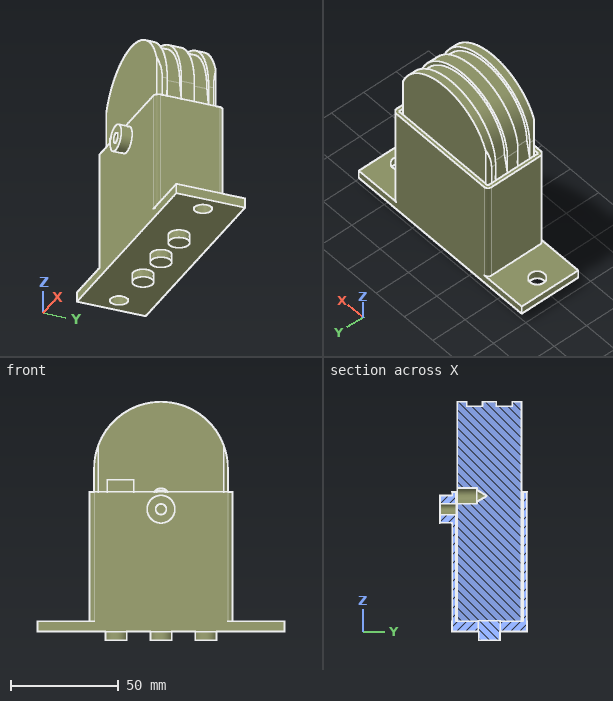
import cadquery as cq
import math

plate_length = 115.0
depth = 35.0
plate_thickness = 5.0
mounting_hole_diameter = 8.5
mounting_hole_offset = 48.5

housing_length = 66.7
housing_top = 65.0
wall = 2.0
corner_radius = 2.4

boss_diameter = 12.9
boss_length = 5.5
boss_hole_diameter = 5.0
boss_height = 56.9

pin_diameter = 10.0
pin_projection = 4.0
pin_pitch = 20.8
pin_count = 3

slider_radius = 31.2
slider_depth = 30.0
slider_top = 107.0
edge_chamfer = 2.0

center_rib_width = 6.5
groove_width = 7.2
groove_depth = 2.1
groove_runout = 10.8

socket_diameter = 7.1
socket_top = 66.7
socket_depth = 9.2
socket_tip_diameter = 5.3
socket_tip_angle = 60.0

recess_width = 12.4
recess_center_x = -18.9
recess_top = 70.7
recess_depth = 0.1

cavity_length = housing_length - 2 * wall
cavity_depth = depth - 2 * wall
front_wall_y = -depth / 2
slider_front_y = -slider_depth / 2
arc_center_z = slider_top - slider_radius
groove_radius = slider_radius - groove_depth
groove_offset = (center_rib_width + groove_width) / 2
pin_positions = [((i - (pin_count - 1) / 2) * pin_pitch, 0) for i in range(pin_count)]


def front_cylinder(diameter, length, center_z, front_y):
    """Cylinder along Y that starts at front_y and runs backwards (+Y)."""
    axis = cq.Vector(0, 1, 0)
    start = cq.Vector(0, front_y, center_z)
    return cq.Workplane(cq.Solid.makeCylinder(diameter / 2, length, start, axis))


def make_housing():
    """Open-topped box on a base plate, with a drilled boss on its front wall."""
    plate = cq.Workplane().box(plate_length, depth, plate_thickness, centered=(True, True, False))
    walls = (
        cq.Workplane()
        .box(housing_length, depth, housing_top, centered=(True, True, False))
        .edges("|Z")
        .fillet(corner_radius)
    )
    cavity = (
        cq.Workplane()
        .workplane(offset=plate_thickness)
        .rect(cavity_length, cavity_depth)
        .extrude(housing_top - plate_thickness)
        .edges("|Z")
        .fillet(corner_radius - wall)
    )
    boss_front_y = front_wall_y - boss_length
    boss = front_cylinder(boss_diameter, boss_length + wall, boss_height, boss_front_y)
    boss_hole = front_cylinder(boss_hole_diameter, boss_length + wall, boss_height, boss_front_y)
    mounting_holes = (
        cq.Workplane()
        .pushPoints([(-mounting_hole_offset, 0), (mounting_hole_offset, 0)])
        .circle(mounting_hole_diameter / 2)
        .extrude(plate_thickness)
    )
    pin_holes = cq.Workplane().pushPoints(pin_positions).circle(pin_diameter / 2).extrude(plate_thickness)
    body = plate.union(walls).cut(cavity).union(boss)
    return body.cut(boss_hole).cut(mounting_holes).cut(pin_holes)


def make_pin(position):
    """Pin that fills its hole in the base plate and stands out below it."""
    return (
        cq.Workplane()
        .workplane(offset=-pin_projection)
        .center(*position)
        .circle(pin_diameter / 2)
        .extrude(pin_projection + plate_thickness)
    )


def make_groove(center_y):
    """Ring of material removed over the rounded top, running out along both sides."""
    runout_z = arc_center_z - groove_runout
    return (
        cq.Workplane("XZ", origin=(0, center_y, 0))
        .moveTo(-slider_radius, runout_z)
        .lineTo(-groove_radius, arc_center_z)
        .threePointArc((0, arc_center_z + groove_radius), (groove_radius, arc_center_z))
        .lineTo(slider_radius, runout_z)
        .lineTo(slider_radius, arc_center_z)
        .threePointArc((0, slider_top), (-slider_radius, arc_center_z))
        .close()
        .extrude(groove_width / 2, both=True)
    )


def make_socket():
    """Blind hole in the slider's front face with a smaller conical tip."""
    center_z = socket_top - socket_diameter / 2
    bore = front_cylinder(socket_diameter, socket_depth, center_z, slider_front_y)
    tip_radius = socket_tip_diameter / 2
    tip_length = tip_radius / math.tan(math.radians(socket_tip_angle / 2))
    tip_start = cq.Vector(0, slider_front_y + socket_depth, center_z)
    tip = cq.Solid.makeCone(tip_radius, 0, tip_length, tip_start, cq.Vector(0, 1, 0))
    return bore.union(cq.Workplane(tip))


def make_face_recess():
    """Very shallow square recess in the slider's front face."""
    center = (recess_center_x, slider_front_y + recess_depth / 2, recess_top - recess_width / 2)
    return cq.Workplane().box(recess_width, recess_depth, recess_width).translate(center)


def make_slider():
    """Round-topped block standing on the housing floor."""
    blank = (
        cq.Workplane()
        .workplane(offset=plate_thickness)
        .rect(2 * slider_radius, slider_depth)
        .extrude(slider_top - plate_thickness)
        .edges("|Z")
        .chamfer(edge_chamfer)
    )
    outline = (
        cq.Workplane("XZ")
        .moveTo(-slider_radius, plate_thickness)
        .lineTo(-slider_radius, arc_center_z)
        .threePointArc((0, slider_top), (slider_radius, arc_center_z))
        .lineTo(slider_radius, plate_thickness)
        .close()
        .extrude(slider_depth / 2, both=True)
    )
    body = blank.intersect(outline)
    for center_y in (-groove_offset, groove_offset):
        body = body.cut(make_groove(center_y))
    return body.cut(make_socket()).cut(make_face_recess())


housing = make_housing()
slider = make_slider()
pins = [make_pin(position) for position in pin_positions]

result = cq.Compound.makeCompound([housing.val(), slider.val(), *[pin.val() for pin in pins]])